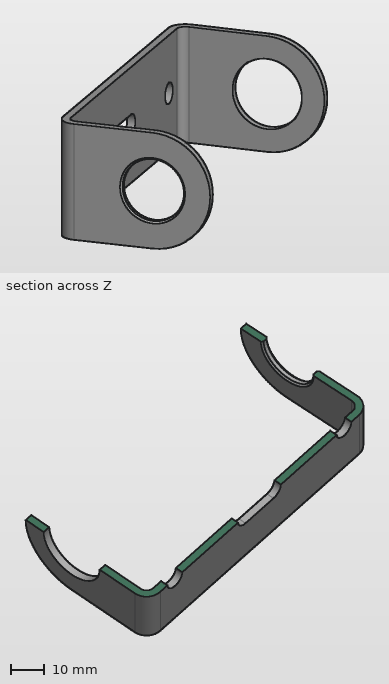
import cadquery as cq
import math

length = 99.95
height = 36.0
thickness = 2.6
inner_bend_radius = 2.7
outer_bend_radius = inner_bend_radius + thickness

hole_center_x = 30.0
arm_end_x = hole_center_x + height / 2
front_hole_diameter = 19.2
front_hole_chamfer = 0.6
back_hole_diameter = 21.8
front_arm_tilt = 1.0

web_hole_diameter = 6.5
web_hole_spacing = 76.0
slot_length = 19.1


def make_web():
    """Flat web on the YZ plane with two round holes and a central slot."""
    flat_length = length - 2 * outer_bend_radius
    web = cq.Workplane("YZ").rect(flat_length, height).extrude(thickness)
    holes = (
        cq.Workplane("YZ")
        .pushPoints([(-web_hole_spacing / 2, 0), (web_hole_spacing / 2, 0)])
        .circle(web_hole_diameter / 2)
        .extrude(thickness)
    )
    slot = cq.Workplane("YZ").slot2D(slot_length, web_hole_diameter).extrude(thickness)
    return web.cut(holes).cut(slot)


def make_bent_arm(hole_diameter, hole_chamfer=0, tilt=0):
    """Bend and arm at the -Y end; tilt is the extra bend beyond 90 degrees."""
    bend_x = outer_bend_radius
    bend_y = -length / 2 + outer_bend_radius

    def bend_point(radius, angle):
        turn = math.radians(angle)
        return bend_x - radius * math.cos(turn), bend_y - radius * math.sin(turn)

    bend_angle = 90 + tilt
    bend = (
        cq.Workplane("XY", origin=(0, 0, -height / 2))
        .moveTo(*bend_point(outer_bend_radius, 0))
        .threePointArc(
            bend_point(outer_bend_radius, bend_angle / 2),
            bend_point(outer_bend_radius, bend_angle),
        )
        .lineTo(*bend_point(inner_bend_radius, bend_angle))
        .threePointArc(
            bend_point(inner_bend_radius, bend_angle / 2),
            bend_point(inner_bend_radius, 0),
        )
        .close()
        .extrude(height)
    )

    arm = (
        cq.Workplane("XZ", origin=(0, -length / 2, 0))
        .moveTo(bend_x, -height / 2)
        .lineTo(hole_center_x, -height / 2)
        .threePointArc((arm_end_x, 0), (hole_center_x, height / 2))
        .lineTo(bend_x, height / 2)
        .close()
        .extrude(-thickness)
        .faces("<Y")
        .workplane(origin=(hole_center_x, -length / 2, 0))
        .hole(hole_diameter)
    )
    if hole_chamfer > 0:
        arm = arm.edges(cq.selectors.RadiusNthSelector(0)).chamfer(hole_chamfer)
    arm = arm.rotate((bend_x, bend_y, 0), (bend_x, bend_y, 1), tilt)
    return bend.union(arm)


front_arm = make_bent_arm(front_hole_diameter, front_hole_chamfer, front_arm_tilt)
back_arm = make_bent_arm(back_hole_diameter).mirror("XZ")
result = make_web().union(front_arm).union(back_arm)